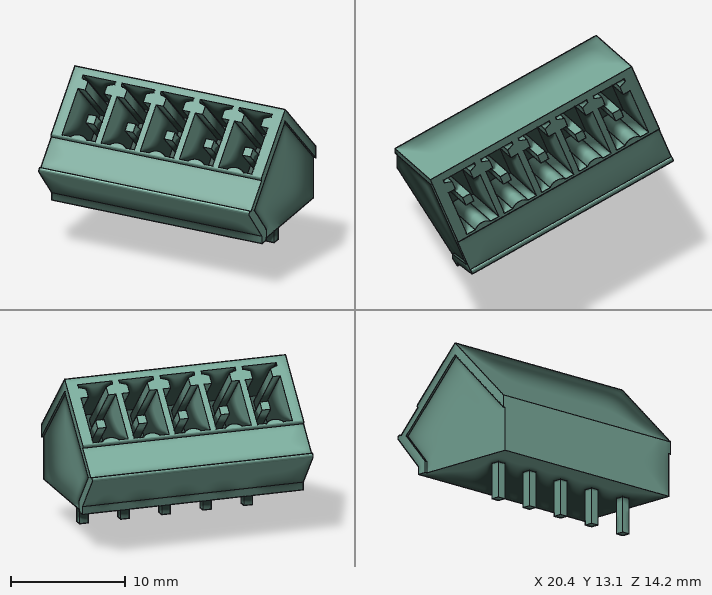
import cadquery as cq
import math


LENGTH = 20.45
PIN_COUNT = 5
PITCH = 3.8

BACK_HEIGHT = 4.99
RIDGE_DEPTH = 6.0
RIDGE_HEIGHT = BACK_HEIGHT + RIDGE_DEPTH
STEP_ROUND = 0.2
UPPER_SLOPE = 6.55
LIP_RADIUS = 0.22
OVERALL_DEPTH = 13.1
FOOT_DEPTH = 10.57
FOOT_HEIGHT = 0.72

RECESS = 0.2
RIM_DROP = 1.12
RECESS_NOSE_DEPTH = 12.05
RECESS_FOOT_DEPTH = 9.7
RECESS_FOOT_HEIGHT = 1.02

SOCKET_WIDTH = 3.23
SOCKET_TOP = 1.98
SOCKET_BOTTOM = 6.42
SOCKET_DEPTH = 6.13
KEYWAY_WIDTH = 1.84
KEYWAY_TOP = 0.67
FLARE_WIDTH = 3.15
FLARE_EDGE = 0.95
FLARE_END = 1.19
RIB_WIDTH = 1.57
RIB_RISE = 0.3

PIN_SIZE = 0.8
PIN_DEPTH = 3.3
PIN_BEND_HEIGHT = 2.47
PIN_BEND_ANGLE = 45.0
PIN_TAIL = 3.2
PIN_TIP_INSET = 1.2

ROOT2 = math.sqrt(2)
PIN_POSITIONS = [(i - (PIN_COUNT - 1) / 2) * PITCH for i in range(PIN_COUNT)]

SLOPE_PLANE = cq.Plane(origin=(0, -RIDGE_DEPTH, RIDGE_HEIGHT), xDir=(1, 0, 0), normal=(0, -1, 1))


def section(x):
    """YZ sketch plane at the given X; its normal points along +X."""
    return cq.Workplane("YZ", origin=(x, 0, 0))


def housing_block():
    step_y = -RIDGE_DEPTH - UPPER_SLOPE / ROOT2
    step_z = RIDGE_HEIGHT - UPPER_SLOPE / ROOT2
    step_middle = (step_y - STEP_ROUND * (1 - 1 / ROOT2), step_z - STEP_ROUND / ROOT2)
    step_end = (step_y, step_z - STEP_ROUND * ROOT2)

    lip_y = -OVERALL_DEPTH + LIP_RADIUS
    lip_z = step_end[1] + lip_y - step_end[0]
    lip_start = (lip_y + LIP_RADIUS / ROOT2, lip_z + LIP_RADIUS / ROOT2)
    lip_middle = (lip_y - LIP_RADIUS / ROOT2, lip_z + LIP_RADIUS / ROOT2)
    foot_to_lip = math.hypot(lip_y + FOOT_DEPTH, lip_z - FOOT_HEIGHT)
    undercut_angle = (math.atan2(lip_z - FOOT_HEIGHT, -FOOT_DEPTH - lip_y)
                      + math.asin(LIP_RADIUS / foot_to_lip))
    lip_end = (lip_y - LIP_RADIUS * math.sin(undercut_angle),
               lip_z - LIP_RADIUS * math.cos(undercut_angle))

    return (
        section(-LENGTH / 2)
        .moveTo(0, 0)
        .lineTo(0, BACK_HEIGHT)
        .lineTo(-RIDGE_DEPTH, RIDGE_HEIGHT)
        .lineTo(step_y, step_z)
        .threePointArc(step_middle, step_end)
        .lineTo(*lip_start)
        .threePointArc(lip_middle, lip_end)
        .lineTo(-FOOT_DEPTH, FOOT_HEIGHT)
        .lineTo(-FOOT_DEPTH, 0)
        .close()
        .extrude(LENGTH)
    )


def end_recess(x):
    ridge_z = RIDGE_HEIGHT - RIM_DROP
    nose_z = ridge_z - (RECESS_NOSE_DEPTH - RIDGE_DEPTH)
    return (
        section(x)
        .polyline([
            (0, 0),
            (0, BACK_HEIGHT - RIM_DROP),
            (-RIDGE_DEPTH, ridge_z),
            (-RECESS_NOSE_DEPTH, nose_z),
            (-RECESS_FOOT_DEPTH, RECESS_FOOT_HEIGHT),
            (-RECESS_FOOT_DEPTH, 0),
        ])
        .close()
        .extrude(RECESS)
    )


def socket(x):
    """Socket cavity: flared keyway above a rectangular bay with a rounded rib along its lower wall."""
    half_socket = SOCKET_WIDTH / 2
    half_keyway = KEYWAY_WIDTH / 2
    half_flare = FLARE_WIDTH / 2
    half_rib = RIB_WIDTH / 2
    return (
        cq.Workplane(SLOPE_PLANE)
        .center(x, 0)
        .moveTo(-half_flare, -KEYWAY_TOP)
        .lineTo(half_flare, -KEYWAY_TOP)
        .lineTo(half_flare, -FLARE_EDGE)
        .lineTo(half_keyway, -FLARE_END)
        .lineTo(half_keyway, -SOCKET_TOP)
        .lineTo(half_socket, -SOCKET_TOP)
        .lineTo(half_socket, -SOCKET_BOTTOM)
        .lineTo(half_rib, -SOCKET_BOTTOM)
        .threePointArc((0, -SOCKET_BOTTOM + RIB_RISE), (-half_rib, -SOCKET_BOTTOM))
        .lineTo(-half_socket, -SOCKET_BOTTOM)
        .lineTo(-half_socket, -SOCKET_TOP)
        .lineTo(-half_keyway, -SOCKET_TOP)
        .lineTo(-half_keyway, -FLARE_END)
        .lineTo(-half_flare, -FLARE_EDGE)
        .close()
        .extrude(-SOCKET_DEPTH)
    )


def make_pin(x):
    """Square pin: vertical tail, then a mitred bend into a leg that meets the front slope squarely."""
    half = PIN_SIZE / 2
    mitre = half * math.tan(math.radians(PIN_BEND_ANGLE / 2))
    bend_to_slope = (RIDGE_DEPTH + RIDGE_HEIGHT - PIN_DEPTH - PIN_BEND_HEIGHT) / ROOT2
    leg_run = (bend_to_slope - PIN_TIP_INSET) / ROOT2
    tip_y = -PIN_DEPTH - leg_run
    tip_z = PIN_BEND_HEIGHT + leg_run
    corner = half / ROOT2
    return (
        section(x - half)
        .polyline([
            (-PIN_DEPTH + half, -PIN_TAIL),
            (-PIN_DEPTH + half, PIN_BEND_HEIGHT + mitre),
            (tip_y + corner, tip_z + corner),
            (tip_y - corner, tip_z - corner),
            (-PIN_DEPTH - half, PIN_BEND_HEIGHT - mitre),
            (-PIN_DEPTH - half, -PIN_TAIL),
        ])
        .close()
        .extrude(PIN_SIZE)
    )


def make_housing(pins):
    body = housing_block()
    body = body.cut(end_recess(-LENGTH / 2))
    body = body.cut(end_recess(LENGTH / 2 - RECESS))
    for x in PIN_POSITIONS:
        body = body.cut(socket(x))
    for pin in pins:
        body = body.cut(pin)
    return body


pins = [make_pin(x) for x in PIN_POSITIONS]
housing = make_housing(pins)

result = cq.Compound.makeCompound([housing.val(), *[pin.val() for pin in pins]])